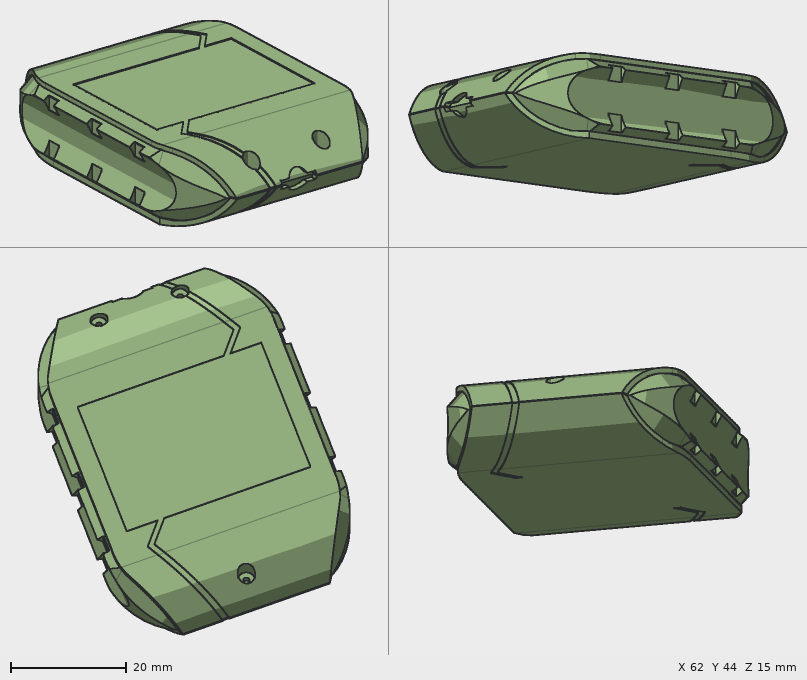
import cadquery as cq
import math

LENGTH = 62.0
HEIGHT = 15.0
FLAT_HALF = 18.1
WALL = 1.0
BOTTOM_WALL = 1.25

SHELL_HALF_WIDTH = 20.6
END_HALF_WIDTH = 13.5
CORNER_X = 18.0
TOP_CORNER_RADIUS = 9.6
BOTTOM_CORNER_RADIUS = 19.2

SEAM_GAP = 0.2
SEAM_DEPTH = 1.3

CORE_HALF_WIDTH = 22.0
CORE_CORNER_RADIUS = 18.0
CORE_CORNER_X = 15.05
BEVEL_INSET = 0.5
SIDE_BEVEL_SLOPE = 0.75
CORNER_BEVEL_SLOPE = 1.2
SCOOP_DEPTH = 1.6
SCOOP_HALF_HEIGHT = 5.0

NOTCH_WIDTH = 2.85
NOTCH_PITCH = 12.5
NOTCH_DEPTH = 1.2
UPPER_NOTCH_Z = (3.05, 5.75)
LOWER_NOTCH_Z = (-5.8, -2.7)

SCREEN_WIDTH = 24.4
SCREEN_LENGTH = 34.0
GROOVE_DEPTH = 0.2
GROOVE_SHIFT_Y = 1.25
GROOVE_END_Y = 6.2
GROOVE_PEAK_X = 16.1
GROOVE_PEAK_Y = 14.6
GROOVE_SCREEN_Y = 11.3

SCREW_PLACES = [(-26.0, 0), (27.0, 7.5), (27.0, -7.5)]
SCREW_HEAD_DIAMETER = 3.05
SCREW_HEAD_FLOOR_Z = 1.55
SCREW_HOLE_DIAMETER = 1.1
SCREW_BOSS_DIAMETER = 4.95

SOCKET_WIDTH = 7.4
SOCKET_HEIGHT = 1.6
SOCKET_DIAMETER = 4.2
SOCKET_DEPTH = 3.1

half_length = LENGTH / 2
half_height = HEIGHT / 2

arc_run = half_length - FLAT_HALF
lens_radius = (arc_run**2 + half_height**2) / (2 * half_height)
arc_centre_z = half_height - lens_radius

OVERSIZE = 2 * LENGTH


def lens(inset):
    """Lens section moved inwards by inset, as a bar along Y."""
    radius = lens_radius - inset
    top = half_height - inset
    tip = FLAT_HALF + math.sqrt(radius**2 - arc_centre_z**2)
    half_angle = math.acos(-arc_centre_z / radius) / 2
    mid_x = FLAT_HALF + radius * math.sin(half_angle)
    mid_z = arc_centre_z + radius * math.cos(half_angle)
    return (
        cq.Workplane("XZ")
        .moveTo(-FLAT_HALF, top)
        .lineTo(FLAT_HALF, top)
        .threePointArc((mid_x, mid_z), (tip, 0))
        .threePointArc((mid_x, -mid_z), (FLAT_HALF, -top))
        .lineTo(-FLAT_HALF, -top)
        .threePointArc((-mid_x, -mid_z), (-tip, 0))
        .threePointArc((-mid_x, mid_z), (-FLAT_HALF, top))
        .close()
        .extrude(LENGTH / 2, both=True)
    )


outer_lens = lens(0)
inner_lens = lens(WALL)


def plan_outline(corners_at, radius):
    """Plan outline of a shell as a tall prism, with the corners on the given X sides rounded."""
    outline = [
        (half_length, -END_HALF_WIDTH),
        (half_length, END_HALF_WIDTH),
        (CORNER_X, SHELL_HALF_WIDTH),
        (-CORNER_X, SHELL_HALF_WIDTH),
        (-half_length, END_HALF_WIDTH),
        (-half_length, -END_HALF_WIDTH),
        (-CORNER_X, -SHELL_HALF_WIDTH),
        (CORNER_X, -SHELL_HALF_WIDTH),
    ]
    prism = cq.Workplane("XY").polyline(outline).close().extrude(LENGTH / 2, both=True)
    for side in corners_at:
        for end in (-1, 1):
            corner = (side * CORNER_X, end * SHELL_HALF_WIDTH, 0)
            prism = prism.edges(cq.selectors.NearestToPointSelector(corner)).fillet(radius)
    return prism


def core_space():
    """Space inside the two shells, open at the -Y and +Y ends; the bottom shell has a thicker floor."""
    floor_z = BOTTOM_WALL - half_height
    above_floor = cq.Workplane("XY", origin=(0, 0, floor_z)).rect(OVERSIZE, OVERSIZE).extrude(HEIGHT)
    return inner_lens.intersect(above_floor)


def zigzag_band(side):
    """Plan area of one zigzag groove: side -1 runs to the -X edge, +1 to the +X edge."""
    edge = [
        (half_length, GROOVE_END_Y),
        (GROOVE_PEAK_X, GROOVE_PEAK_Y),
        (SCREEN_WIDTH / 2, GROOVE_SCREEN_Y),
    ]
    other_edge = [(x, y - GROOVE_SHIFT_Y) for x, y in reversed(edge)]
    points = [(side * x, -side * y) for x, y in edge + other_edge]
    return cq.Workplane("XY").polyline(points).close().extrude(LENGTH / 2, both=True)


def groove_cutter(direction):
    """Zigzag grooves of even depth below the top (+1) or bottom (-1) skin."""
    bands = zigzag_band(-1).union(zigzag_band(1))
    return bands.cut(outer_lens.translate((0, 0, -direction * GROOVE_DEPTH)))


def screen_recess():
    return (
        cq.Workplane("XY", origin=(0, 0, half_height - GROOVE_DEPTH))
        .rect(SCREEN_WIDTH, SCREEN_LENGTH)
        .extrude(HEIGHT)
    )


def screw_holes():
    heads = (
        cq.Workplane("XY", origin=(0, 0, SCREW_HEAD_FLOOR_Z))
        .pushPoints(SCREW_PLACES)
        .circle(SCREW_HEAD_DIAMETER / 2)
        .extrude(HEIGHT)
    )
    shanks = (
        cq.Workplane("XY")
        .pushPoints(SCREW_PLACES)
        .circle(SCREW_HOLE_DIAMETER / 2)
        .extrude(HEIGHT)
    )
    return heads.union(shanks)


def socket_opening():
    start = cq.Workplane("YZ", origin=(half_length - SOCKET_DEPTH, 0, 0))
    slot = start.rect(SOCKET_WIDTH, SOCKET_HEIGHT).extrude(LENGTH)
    bore = start.circle(SOCKET_DIAMETER / 2).extrude(LENGTH)
    return slot.union(bore)


def half_space(direction):
    """Everything above (+1) or below (-1) the plane where the shells meet."""
    return cq.Workplane("XY").rect(OVERSIZE, OVERSIZE).extrude(direction * OVERSIZE)


def seam_gap():
    """Slot along both sharp edges, just above the plane where the shells meet."""
    slot_centre = half_length - SEAM_DEPTH / 2
    return (
        cq.Workplane("XY")
        .pushPoints([(-slot_centre, 0), (slot_centre, 0)])
        .rect(SEAM_DEPTH, LENGTH)
        .extrude(SEAM_GAP)
    )


def screw_bosses():
    """Posts of the top shell that hold the screws, standing on the plane where the shells meet."""
    posts = cq.Workplane("XY").pushPoints(SCREW_PLACES).circle(SCREW_BOSS_DIAMETER / 2).extrude(HEIGHT)
    return posts.intersect(inner_lens)


def make_shell(direction, outline):
    skin = outer_lens.cut(core_space()).intersect(outline)
    half = skin.intersect(half_space(direction))
    return half.cut(groove_cutter(direction)).cut(socket_opening())


def make_top_shell():
    shell = make_shell(1, plan_outline((-1, 1), TOP_CORNER_RADIUS))
    shell = shell.cut(screen_recess()).cut(seam_gap())
    return shell.union(screw_bosses()).cut(screw_holes())


def make_bottom_shell():
    return make_shell(-1, plan_outline((-1,), BOTTOM_CORNER_RADIUS))


def core_outline():
    """Plan outline of a quarter of the core: straight side, large round corner, straight end."""
    tip = half_length - WALL
    centre_y = CORE_HALF_WIDTH - CORE_CORNER_RADIUS
    end_angle = math.asin((tip - CORE_CORNER_X) / CORE_CORNER_RADIUS)

    def on_corner(angle):
        x = CORE_CORNER_X + CORE_CORNER_RADIUS * math.sin(angle)
        return x, centre_y + CORE_CORNER_RADIUS * math.cos(angle)

    mid_x, mid_y = on_corner(end_angle / 2)
    end_x, end_y = on_corner(end_angle)
    return (
        cq.Workplane("XY")
        .moveTo(0, CORE_HALF_WIDTH)
        .lineTo(CORE_CORNER_X, CORE_HALF_WIDTH)
        .threePointArc((mid_x, mid_y), (end_x, end_y))
        .lineTo(end_x, 0)
        .lineTo(0, 0)
        .close()
        .extrude(LENGTH / 2, both=True)
    )


def bevel_waste(start_point, outward, slope):
    """What a bevel of the given slope takes off the core outside one vertical plane."""
    plane = cq.Plane(origin=start_point, xDir=(0, 0, 1), normal=outward)
    outside = cq.Workplane(plane).rect(OVERSIZE, OVERSIZE).extrude(half_length)
    big_face = cq.Face.makePlane(OVERSIZE, OVERSIZE, start_point, outward)
    section = inner_lens.val().intersect(big_face).Faces()[0]
    reach = cq.Vector(*outward) * half_length
    rise = cq.Vector(0, 0, slope * half_length)
    sinking = cq.Solid.extrudeLinear(section, reach - rise)
    rising = cq.Solid.extrudeLinear(section, reach + rise)
    return outside.cut(cq.Workplane(sinking.intersect(rising)))


def grip_scoop():
    """Hollow along the grip, a cylinder along X."""
    radius = (SCOOP_HALF_HEIGHT**2 + SCOOP_DEPTH**2) / (2 * SCOOP_DEPTH)
    axis_y = CORE_HALF_WIDTH - SCOOP_DEPTH + radius
    return cq.Workplane("YZ").center(axis_y, 0).circle(radius).extrude(LENGTH, both=True)


def grip_notches():
    start = cq.Workplane("XZ", origin=(0, CORE_HALF_WIDTH - NOTCH_DEPTH, 0))
    notches = cq.Workplane()
    for low, high in (UPPER_NOTCH_Z, LOWER_NOTCH_Z):
        places = [(column * NOTCH_PITCH, (low + high) / 2) for column in (-1, 0, 1)]
        row = start.pushPoints(places).rect(NOTCH_WIDTH, high - low).extrude(-LENGTH)
        notches = notches.add(row)
    return notches.combine()


def make_core():
    quarter = core_space().intersect(core_outline())

    side_start = (0, SHELL_HALF_WIDTH - BEVEL_INSET, 0)
    quarter = quarter.cut(bevel_waste(side_start, (0, 1, 0), SIDE_BEVEL_SLOPE))

    slant_angle = math.atan2(SHELL_HALF_WIDTH - END_HALF_WIDTH, half_length - CORNER_X)
    slant_normal = (math.sin(slant_angle), math.cos(slant_angle), 0)
    slant_start = (
        CORNER_X - BEVEL_INSET * slant_normal[0],
        SHELL_HALF_WIDTH - BEVEL_INSET * slant_normal[1],
        0,
    )
    quarter = quarter.cut(bevel_waste(slant_start, slant_normal, CORNER_BEVEL_SLOPE))

    half = quarter.union(quarter.mirror("YZ")).cut(grip_scoop()).cut(grip_notches())
    return half.union(half.mirror("XZ")).cut(screw_bosses()).cut(screw_holes())


top_shell = make_top_shell()
bottom_shell = make_bottom_shell()
core = make_core()

result = cq.Compound.makeCompound([top_shell.val(), bottom_shell.val(), core.val()])